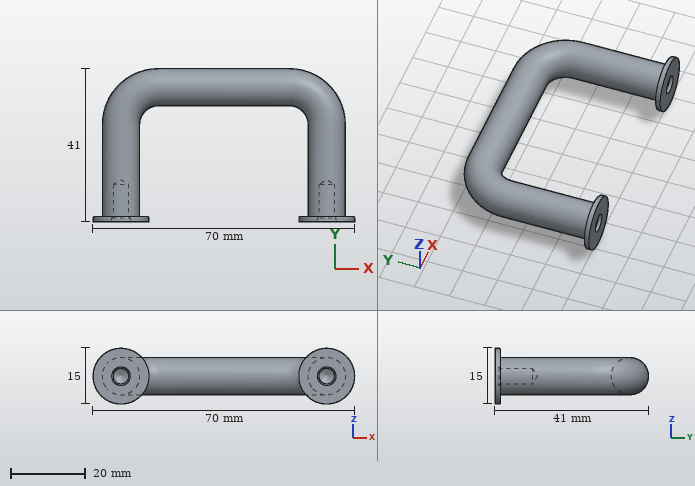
import cadquery as cq
import math

overall_length = 70.0
overall_depth = 41.0
rod_diameter = 10.0
bend_radius = 10.0
flange_diameter = 15.0
flange_thickness = 1.5
flange_edge_radius = 0.5
entry_diameter = 5.0
entry_depth = 1.0
bore_diameter = 4.1
bore_depth = 10.0
drill_point_angle = 118.0

leg_x = (overall_length - flange_diameter) / 2
grip_y = overall_depth - rod_diameter / 2
bend_start_y = grip_y - bend_radius
bend_end_x = leg_x - bend_radius
bend_offset = bend_radius * math.sqrt(0.5)
bend_middle = (bend_end_x + bend_offset, bend_start_y + bend_offset)


def bent_rod():
    """Round rod swept along both legs, the bends and the grip."""
    middle_x, middle_y = bend_middle
    path = (
        cq.Workplane("XY")
        .moveTo(-leg_x, 0)
        .lineTo(-leg_x, bend_start_y)
        .threePointArc((-middle_x, middle_y), (-bend_end_x, grip_y))
        .lineTo(bend_end_x, grip_y)
        .threePointArc((middle_x, middle_y), (leg_x, bend_start_y))
        .lineTo(leg_x, 0)
    )
    rod_section = cq.Workplane("XZ", origin=(-leg_x, 0, 0)).circle(rod_diameter / 2)
    return rod_section.sweep(path)


def flange(x):
    """Disc at the foot of a leg, rounded on the edge facing the grip."""
    disc = cq.Workplane("XZ", origin=(x, 0, 0)).circle(flange_diameter / 2).extrude(-flange_thickness)
    return disc.faces(">Y").edges().fillet(flange_edge_radius)


def screw_hole(x):
    """Blind hole with a wider entry, a tapered step and a conical drill point, as a solid to cut away."""
    bore_radius = bore_diameter / 2
    entry_radius = entry_diameter / 2
    taper_end = entry_depth + entry_radius - bore_radius
    point_length = bore_radius / math.tan(math.radians(drill_point_angle / 2))
    half_profile = (
        cq.Workplane("XY", origin=(x, 0, 0))
        .lineTo(entry_radius, 0)
        .lineTo(entry_radius, entry_depth)
        .lineTo(bore_radius, taper_end)
        .lineTo(bore_radius, bore_depth)
        .lineTo(0, bore_depth + point_length)
        .close()
    )
    return half_profile.revolve(360, (0, 0, 0), (0, 1, 0))


result = bent_rod()
for foot_x in (-leg_x, leg_x):
    result = result.union(flange(foot_x)).cut(screw_hole(foot_x))